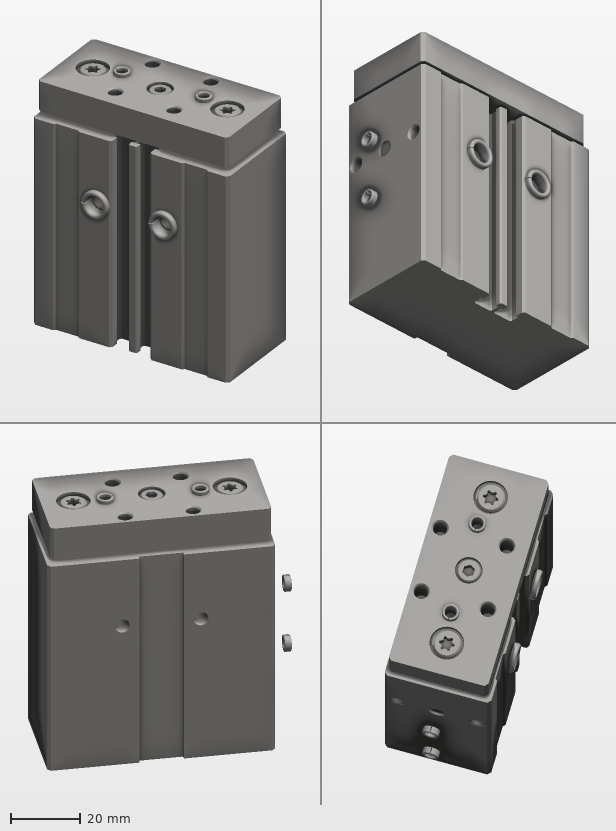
import cadquery as cq
import math


housing_width = 67.0
housing_front = -16.1
housing_back = 15.9
housing_height = 68.0
housing_chamfer = 1.0
housing_depth = housing_back - housing_front

groove_inner = 17.6
groove_outer = 26.4
groove_depth = 0.65

slot_mouth_half = 6.5
slot_mouth_chamfer = 0.7
slot_floor_depth = 6.35
slot_lip_depth = 3.2
slot_undercut = 0.9
slot_floor_chamfer = 0.5
rib_half = 1.5
rib_chamfer = 0.5
rib_recess = 1.1
back_recess_depth = 1.1

plate_gap = 2.0
plate_thickness = 10.0
plate_length = 65.0
plate_depth = 29.9
plate_chamfer = 1.0
plate_bottom = housing_height + plate_gap
plate_top = plate_bottom + plate_thickness

hole_pitch = 20.0
pattern_offset_y = 1.5
thread_diameter = 4.15
thread_mouth = 5.0
drill_tip_angle = 118.0

guide_spacing = 46.0
guide_diameter = 12.0
guide_recess_diameter = 10.0
guide_head_diameter = 8.45
guide_head_chamfer = 0.65
torx_tip_radius = 2.3
torx_root_radius = 1.6
torx_lobes = 6
torx_lobe_half_angle = 9.0
head_lug_width = 2.8
head_lug_height = 0.7
piston_diameter = 6.0
piston_recess_diameter = 8.0
piston_head_diameter = 7.0
piston_head_chamfer = 0.5
hex_corner_diameter = 3.7
head_sink = 0.4
head_groove_depth = 1.5
socket_depth = 2.4

small_sleeve_diameter = 5.0
small_sleeve_bore = 3.3
small_sleeve_length = 2.1
small_sleeve_seat = 0.8
plate_sleeve_spacing = 28.0
plate_sleeve_hole_depth = 4.9
side_sleeve_gap = 5.2
upper_level = 46.0

large_sleeve_diameter = 9.0
large_sleeve_bore = 6.0
large_sleeve_length = 4.0
large_sleeve_protrusion = 1.8
front_hole_spacing = 23.1
front_hole_diameter = 4.3
front_hole_mouth = 5.0
sleeve_slit = 0.25
sleeve_edge = 0.2

side_hole_offset = 12.0
side_hole_depth = 8.1

plate_sleeve_xs = [-plate_sleeve_spacing / 2, plate_sleeve_spacing / 2]
guide_xs = [-guide_spacing / 2, guide_spacing / 2]
front_hole_xs = [-front_hole_spacing / 2, front_hole_spacing / 2]


def revolved(profile, origin, x_dir, axis):
    """Solid of (radius, height) points turned about a line through origin along axis."""
    plane = cq.Plane(origin=origin, xDir=x_dir, normal=cq.Vector(*x_dir).cross(cq.Vector(*axis)))
    return cq.Workplane(plane).polyline(profile).close().revolve(360, (0, 0, 0), (0, 1, 0))


def cylinder_z(diameter, bottom, top, x=0, y=0):
    return cq.Workplane("XY", origin=(x, y, bottom)).circle(diameter / 2).extrude(top - bottom)


def drill_tip(radius):
    """Length of the conical end that a drill leaves."""
    return radius / math.tan(math.radians(drill_tip_angle / 2))


def centring_sleeve(diameter, bore, length):
    """Sleeve standing on the origin with a fully rounded upper rim and a slit on its -X side."""
    outer = diameter / 2
    inner = bore / 2
    rim_radius = (outer - inner) / 2
    shoulder = length - rim_radius
    sleeve = (
        cq.Workplane("XZ")
        .moveTo(inner, 0)
        .lineTo(outer - sleeve_edge, 0)
        .lineTo(outer, sleeve_edge)
        .lineTo(outer, shoulder)
        .threePointArc((outer - rim_radius, length), (inner, shoulder))
        .close()
        .revolve(360, (0, 0, 0), (0, 1, 0))
    )
    slit = cq.Workplane("XY").box(diameter, sleeve_slit, 2 * length).translate((-diameter / 2, 0, 0))
    return sleeve.cut(slit)


def small_sleeve():
    return centring_sleeve(small_sleeve_diameter, small_sleeve_bore, small_sleeve_length)


def large_sleeve():
    return centring_sleeve(large_sleeve_diameter, large_sleeve_bore, large_sleeve_length)


def slot_cutter():
    """Plan of the slot to the right of the rib; depth grows along +Y from the face at Y = 0."""
    wide_left = rib_half - slot_undercut
    wide_right = slot_mouth_half + slot_undercut
    return (
        cq.Workplane("XY")
        .moveTo(0, 0)
        .lineTo(slot_mouth_half + slot_mouth_chamfer, 0)
        .lineTo(slot_mouth_half, slot_mouth_chamfer)
        .lineTo(slot_mouth_half, slot_lip_depth)
        .lineTo(wide_right, slot_lip_depth)
        .lineTo(wide_right, slot_floor_depth - slot_floor_chamfer)
        .lineTo(wide_right - slot_floor_chamfer, slot_floor_depth)
        .lineTo(wide_left + slot_floor_chamfer, slot_floor_depth)
        .lineTo(wide_left, slot_floor_depth - slot_floor_chamfer)
        .lineTo(wide_left, slot_lip_depth)
        .lineTo(rib_half, slot_lip_depth)
        .lineTo(rib_half, rib_recess + rib_chamfer)
        .lineTo(rib_half - rib_chamfer, rib_recess)
        .lineTo(0, rib_recess)
        .close()
        .extrude(housing_height)
    )


def groove_cutter():
    return (
        cq.Workplane("XY")
        .moveTo(groove_inner, 0)
        .lineTo(groove_outer, 0)
        .lineTo(groove_outer - groove_depth, groove_depth)
        .lineTo(groove_inner + groove_depth, groove_depth)
        .close()
        .extrude(housing_height)
    )


def build_housing():
    body = (
        cq.Workplane("XY", origin=(0, (housing_front + housing_back) / 2, 0))
        .rect(housing_width, housing_depth)
        .extrude(housing_height)
        .edges("|Z")
        .chamfer(housing_chamfer)
    )

    slot = slot_cutter()
    slots = slot.union(slot.mirror("YZ"))
    groove = groove_cutter()
    grooves = groove.union(groove.mirror("YZ"))
    body = body.cut(slots.translate((0, housing_front, 0)))
    body = body.cut(grooves.translate((0, housing_front, 0)))

    recess = cq.Workplane("XY").box(2 * slot_mouth_half, 2 * back_recess_depth, 2 * housing_height)
    body = body.cut(recess.translate((0, housing_back, 0)))

    for x in guide_xs:
        body = body.cut(cylinder_z(guide_diameter, 0, housing_height, x))
    body = body.cut(cylinder_z(piston_diameter, 0, housing_height))

    seat = large_sleeve_length - large_sleeve_protrusion
    mouth_step = (front_hole_mouth - front_hole_diameter) / 2
    profile = [
        (0, 0),
        (large_sleeve_diameter / 2, 0),
        (large_sleeve_diameter / 2, seat),
        (front_hole_mouth / 2, seat),
        (front_hole_diameter / 2, seat + mouth_step),
        (front_hole_diameter / 2, housing_depth),
        (0, housing_depth),
    ]
    for x in front_hole_xs:
        body = body.cut(revolved(profile, (x, housing_front, upper_level), (1, 0, 0), (0, 1, 0)))

    side = -housing_width / 2
    thread_radius = thread_diameter / 2
    drill = [
        (0, 0),
        (thread_mouth / 2, 0),
        (thread_radius, thread_radius - thread_mouth / 2),
        (thread_radius, -side_hole_depth),
        (0, -side_hole_depth - drill_tip(thread_radius)),
    ]
    for y in (-side_hole_offset, side_hole_offset):
        body = body.cut(revolved(drill, (side, y, upper_level), (0, 1, 0), (-1, 0, 0)))
    seat_cut = cq.Workplane("YZ", origin=(side, 0, upper_level)).circle(small_sleeve_diameter / 2)
    return body.cut(seat_cut.extrude(small_sleeve_seat))


def build_plate():
    """Moving plate made in one piece with the piston rod."""
    plate = (
        cq.Workplane("XY", origin=(0, 0, plate_bottom))
        .rect(plate_length, plate_depth)
        .extrude(plate_thickness)
        .edges("|Z")
        .chamfer(plate_chamfer)
    )

    mouth_step = (thread_mouth - thread_diameter) / 2
    threaded = [
        (0, 0),
        (thread_mouth / 2, 0),
        (thread_diameter / 2, -mouth_step),
        (thread_diameter / 2, -plate_thickness),
        (0, -plate_thickness),
    ]
    for x in (-hole_pitch / 2, hole_pitch / 2):
        for y in (-hole_pitch / 2, hole_pitch / 2):
            center = (x, pattern_offset_y + y, plate_top)
            plate = plate.cut(revolved(threaded, center, (1, 0, 0), (0, 0, 1)))

    bore_radius = small_sleeve_bore / 2
    sleeve_hole = [
        (0, 0),
        (small_sleeve_diameter / 2, 0),
        (small_sleeve_diameter / 2, -small_sleeve_seat),
        (bore_radius, -small_sleeve_seat),
        (bore_radius, -plate_sleeve_hole_depth),
        (0, -plate_sleeve_hole_depth - drill_tip(bore_radius)),
    ]
    for x in plate_sleeve_xs:
        plate = plate.cut(revolved(sleeve_hole, (x, pattern_offset_y, plate_top), (1, 0, 0), (0, 0, 1)))

    recess_bottom = plate_top - head_groove_depth
    for x in guide_xs:
        plate = plate.cut(cylinder_z(guide_head_diameter, plate_bottom, plate_top, x))
        plate = plate.cut(cylinder_z(guide_recess_diameter, recess_bottom, plate_top, x))

    plate = plate.cut(cylinder_z(piston_recess_diameter, recess_bottom, plate_top))
    head_top = plate_top - head_sink
    head = cylinder_z(piston_head_diameter, recess_bottom, head_top).faces(">Z").chamfer(piston_head_chamfer)
    socket = (
        cq.Workplane("XY", origin=(0, 0, head_top))
        .polygon(6, hex_corner_diameter)
        .extrude(-socket_depth)
    )
    return plate.union(head).cut(socket).union(cylinder_z(piston_diameter, 0, plate_bottom))


def torx_socket(top):
    """Six-lobed socket with one lobe towards +Y."""

    def polar(radius, degrees):
        angle = math.radians(degrees)
        return (radius * math.cos(angle), radius * math.sin(angle))

    pitch = 360 / torx_lobes
    outline = cq.Workplane("XY", origin=(0, 0, top)).moveTo(*polar(torx_tip_radius, 90 - torx_lobe_half_angle))
    for lobe in range(torx_lobes):
        middle = 90 + pitch * lobe
        lobe_end = polar(torx_tip_radius, middle + torx_lobe_half_angle)
        next_lobe = polar(torx_tip_radius, middle + pitch - torx_lobe_half_angle)
        outline = outline.threePointArc(polar(torx_tip_radius, middle), lobe_end)
        outline = outline.threePointArc(polar(torx_root_radius, middle + pitch / 2), next_lobe)
    return outline.close().extrude(-socket_depth)


def head_lug(bottom):
    """Sloping lug on the +Y side of a guide rod head, reaching the wall of the recess."""
    cone = cq.Workplane(
        cq.Solid.makeCone(guide_recess_diameter / 2, guide_head_diameter / 2, head_lug_height)
    )
    width_limit = (
        cq.Workplane("XY")
        .box(head_lug_width, guide_recess_diameter, 2 * head_lug_height)
        .translate((0, guide_recess_diameter / 2, 0))
    )
    return cone.intersect(width_limit).translate((0, 0, bottom))


def build_guide_rod(x):
    """Guide rod whose narrower neck passes through the plate and ends in a sunken head."""
    head_top = plate_top - head_sink
    neck = cylinder_z(guide_head_diameter, plate_bottom, head_top).faces(">Z").chamfer(guide_head_chamfer)
    neck = neck.union(head_lug(plate_top - head_groove_depth)).cut(torx_socket(head_top))
    return cylinder_z(guide_diameter, 0, plate_bottom).union(neck).translate((x, 0, 0))


def build_plate_sleeve(x):
    return small_sleeve().translate((x, pattern_offset_y, plate_top - small_sleeve_seat))


def build_side_sleeve(z):
    """Loose small sleeve standing off the side face, its slit upwards."""
    inner_end = -housing_width / 2 - side_sleeve_gap
    upright = small_sleeve().rotate((0, 0, 0), (0, 1, 0), -90)
    return upright.rotate((0, 0, 0), (1, 0, 0), 180).translate((inner_end, 0, z))


def build_front_sleeve(x):
    seat = large_sleeve_length - large_sleeve_protrusion
    return large_sleeve().rotate((0, 0, 0), (1, 0, 0), 90).translate((x, housing_front + seat, upper_level))


housing = build_housing()
plate = build_plate()
guide_rods = [build_guide_rod(x).val() for x in guide_xs]
plate_sleeves = [build_plate_sleeve(x).val() for x in plate_sleeve_xs]
side_sleeves = [build_side_sleeve(z).val() for z in (upper_level, upper_level - hole_pitch)]
front_sleeves = [build_front_sleeve(x).val() for x in front_hole_xs]

result = cq.Compound.makeCompound(
    [housing.val(), plate.val(), *guide_rods, *plate_sleeves, *side_sleeves, *front_sleeves]
)